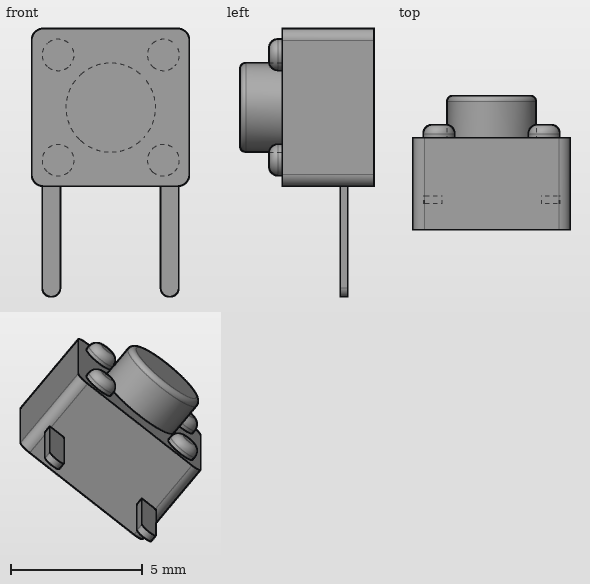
import cadquery as cq

total_depth = 5.1
total_height = 10.2

body_side = 6.0
body_depth = 3.5
body_corner_radius = 0.45

button_diameter = 3.4
button_length = total_depth - body_depth
button_edge_radius = 0.22

post_diameter = 1.2
post_length = 0.5
post_edge_radius = 0.35
post_spacing = 4.0

pin_width = 0.7
pin_thickness = 0.3
pin_spacing = 4.5
pin_front = 1.0
pin_length = total_height - body_side


def make_body():
    body = cq.Workplane("XY").box(body_side, body_depth, body_side, centered=(True, False, True))
    return body.edges("|Y").fillet(body_corner_radius)


def make_rounded_stud(x, z, diameter, length, edge_radius):
    """Cylinder standing on the rear face, with a rounded outer edge."""
    rear_plane = cq.Plane(origin=(x, body_depth, z), xDir=(1, 0, 0), normal=(0, 1, 0))
    stud = cq.Workplane(rear_plane).circle(diameter / 2).extrude(length)
    return stud.faces(">Y").edges().fillet(edge_radius)


def make_pin(x):
    """Flat pin hanging from the underside of the body, with a half-round tip."""
    left = x - pin_width / 2
    right = x + pin_width / 2
    top = -body_side / 2
    tip = top - pin_length
    round_start = tip + pin_width / 2
    return (
        cq.Workplane("XZ", origin=(0, pin_front, 0))
        .moveTo(left, top)
        .lineTo(left, round_start)
        .threePointArc((x, tip), (right, round_start))
        .lineTo(right, top)
        .close()
        .extrude(-pin_thickness)
    )


result = make_body()
result = result.union(make_rounded_stud(0, 0, button_diameter, button_length, button_edge_radius))

for side in (-1, 1):
    result = result.union(make_pin(side * pin_spacing / 2))
    for level in (-1, 1):
        post_x = side * post_spacing / 2
        post_z = level * post_spacing / 2
        post = make_rounded_stud(post_x, post_z, post_diameter, post_length, post_edge_radius)
        result = result.union(post)